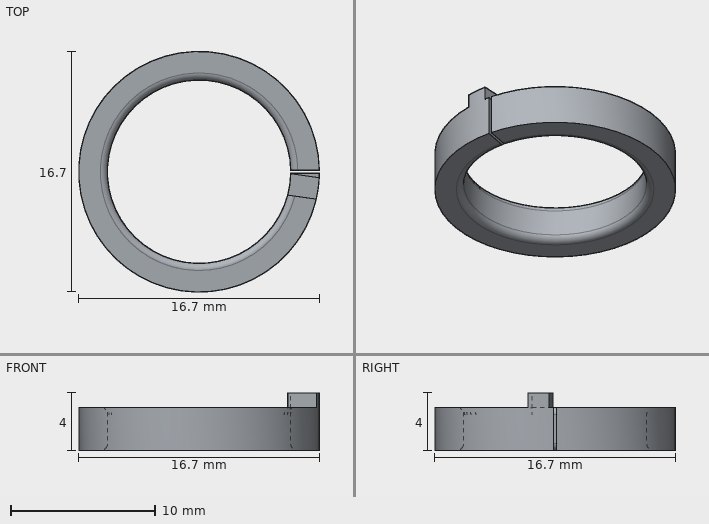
import cadquery as cq

outer_radius = 8.35
bore_radius = 6.35
ring_height = 3.0
bore_fillet = 0.5

split_width = 0.2

tab_height = 1.0
tab_width = 1.5
tab_angle = -8.0

land_depth = tab_width / 2
fillet_start = ring_height - bore_fillet


def make_tube(bottom, height):
    """Plain tube with the ring's radii."""
    base = cq.Workplane("XY").workplane(offset=bottom)
    return base.circle(outer_radius).circle(bore_radius).extrude(height)


def make_radial_bar(y_min, y_max, bottom, height):
    """Bar running from the axis past the ring along +X, between two Y limits."""
    length = 2 * outer_radius
    bar = cq.Workplane("XY").box(length, y_max - y_min, height, centered=False)
    return bar.translate((0, y_min, bottom))


def make_ring():
    """Ring with both bore edges rounded."""
    bore_edges = cq.selectors.RadiusNthSelector(0)
    return make_tube(0, ring_height).edges(bore_edges).fillet(bore_fillet)


def make_tab():
    """Tab bounded by the ring's radii, filling the bore rounding beneath it."""
    height = bore_fillet + tab_height
    bar = make_radial_bar(-tab_width / 2, tab_width / 2, fillet_start, height)
    bar = bar.rotate((0, 0, 0), (0, 0, 1), tab_angle)
    return make_tube(fillet_start, height).intersect(bar)


def make_land():
    """Fill of the bore rounding in the sliver between the split and the tab."""
    bar = make_radial_bar(-land_depth, 0, fillet_start, bore_fillet)
    return make_tube(fillet_start, bore_fillet).intersect(bar)


def make_split():
    """Cutter that opens the ring wall from the bore to the outside."""
    return make_radial_bar(-split_width / 2, split_width / 2, 0, ring_height + tab_height)


result = make_ring().union(make_tab()).union(make_land()).cut(make_split())